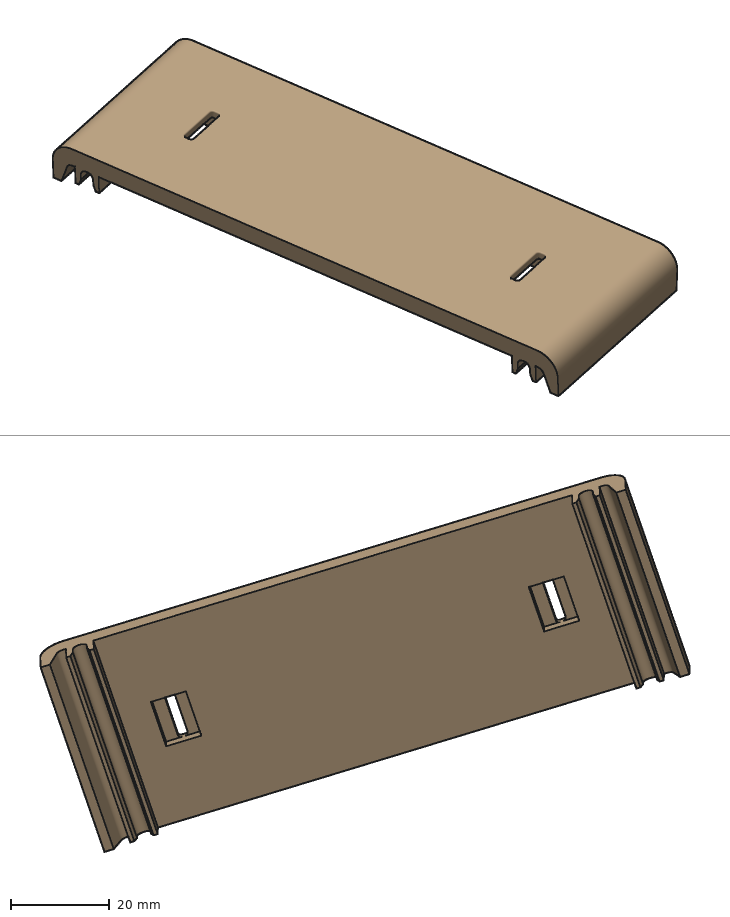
import cadquery as cq
import math

length = 124.5
width = 43.0
height = 10.0
end_draft = 3.0

half_length = length / 2
plate_thickness = 4.5
plate_underside = height - plate_thickness
corner_radius = 5.0
wall_foot_width = 2.0
wall_fillet = 1.5
wall_top_width = 3.9

prong_bottom = 1.1
prong_foot_width = 0.9
outer_prong_face = 5.5
inner_prong_face = 11.3
socket_width = 3.0
socket_radius = socket_width / 2
socket_mouth_height = 2.7
socket_center = (outer_prong_face + inner_prong_face) / 2

slot_offset = 40.2
slot_centers = [(-slot_offset, 0), (slot_offset, 0)]
slot_length = 10.1
slot_width = 2.1
slot_corner_radius = 0.6
slot_edge_radius = 0.31

slot_web = 1.7
recess_width = 7.5
recess_length = slot_length


def end_x(distance):
    """X position at a distance inwards from the left end."""
    return distance - half_length


def left_half():
    """Left half of the cross-section, extruded over the full width."""
    socket_left = end_x(socket_center - socket_radius)
    socket_right = end_x(socket_center + socket_radius)
    socket_spring = plate_underside - socket_radius
    wall_slant = math.atan2(plate_underside, wall_top_width - wall_foot_width)
    tangent_length = wall_fillet * math.tan(wall_slant / 2)
    corner_x = end_x(wall_top_width)
    fillet_start = (
        corner_x - tangent_length * math.cos(wall_slant),
        plate_underside - tangent_length * math.sin(wall_slant),
    )
    fillet_end = (corner_x + tangent_length, plate_underside)
    profile = (
        cq.Workplane("XZ")
        .moveTo(0, height)
        .lineTo(end_x(corner_radius), height)
        .tangentArcPoint((-half_length, height - corner_radius), relative=False)
        .lineTo(-half_length, 0)
        .lineTo(end_x(wall_foot_width), 0)
        .lineTo(*fillet_start)
        .tangentArcPoint(fillet_end, relative=False)
        .lineTo(end_x(outer_prong_face), plate_underside)
        .lineTo(end_x(outer_prong_face), prong_bottom)
        .lineTo(end_x(outer_prong_face + prong_foot_width), prong_bottom)
        .lineTo(socket_left, socket_mouth_height)
        .lineTo(socket_left, socket_spring)
        .threePointArc((end_x(socket_center), plate_underside), (socket_right, socket_spring))
        .lineTo(socket_right, socket_mouth_height)
        .lineTo(end_x(inner_prong_face - prong_foot_width), prong_bottom)
        .lineTo(end_x(inner_prong_face), prong_bottom)
        .lineTo(end_x(inner_prong_face), plate_underside)
        .lineTo(0, plate_underside)
        .close()
    )
    return profile.extrude(width / 2, both=True)


def draft_envelope():
    """Block that is full width at the top and narrows in Y towards the bottom."""
    inset = height * math.tan(math.radians(end_draft))
    bottom_y = width / 2 - inset
    section = [(-bottom_y, 0), (bottom_y, 0), (width / 2, height), (-width / 2, height)]
    return cq.Workplane("YZ").polyline(section).close().extrude(half_length, both=True)


def cut_slots(body):
    """Cut rounded rectangular slots through the plate and round their top edges."""
    slot_outline = cq.Sketch().rect(slot_width, slot_length).vertices().fillet(slot_corner_radius)
    slotted = (
        body.faces(">Z")
        .workplane(origin=(0, 0, height))
        .pushPoints(slot_centers)
        .placeSketch(slot_outline)
        .cutBlind(-plate_thickness)
    )
    mouth_edges = [edge for wire in slotted.faces(">Z").val().innerWires() for edge in wire.Edges()]
    return slotted.newObject(mouth_edges).fillet(slot_edge_radius)


def slot_recesses():
    """Rectangular recesses under the slots that leave a thinner web around each slot."""
    return (
        cq.Workplane("XY", origin=(0, 0, plate_underside))
        .pushPoints(slot_centers)
        .rect(recess_width, recess_length)
        .extrude(plate_thickness - slot_web)
    )


half = left_half()
body = half.union(half.mirror("YZ"))
slotted_body = cut_slots(body.intersect(draft_envelope()).clean())
result = slotted_body.cut(slot_recesses())